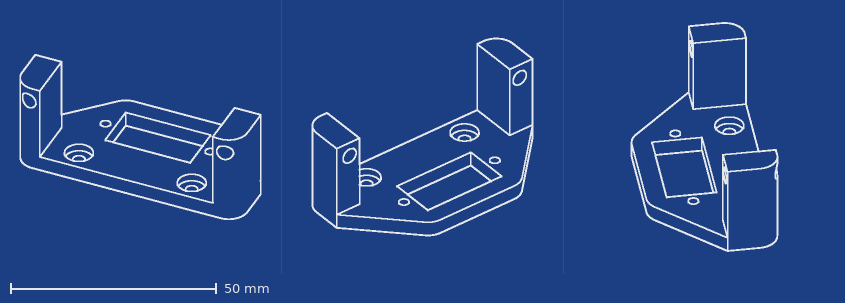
import cadquery as cq

width = 60.0
depth = 30.0
height = 24.0
base_thickness = 4.0

rear_edge_width = 26.75
corner_radius = 5.0

post_width = 7.0
post_depth = 13.0
post_hole_diameter = 4.0
post_hole_inset = 3.95

window_width = 22.6
window_depth = 12.3
window_front = 12.7
window_center = window_front + window_depth / 2
small_hole_spacing = 27.85
small_hole_diameter = 2.5

mount_spacing = 30.0
mount_from_front = 5.4
mount_diameter = 3.0
counterbore_diameter = 7.0
counterbore_depth = 2.0


def make_plate():
    """Plate with slanted rear sides; the front edge lies on Y = 0."""
    outline = [
        (-width / 2, 0),
        (width / 2, 0),
        (width / 2, post_depth),
        (rear_edge_width / 2, depth),
        (-rear_edge_width / 2, depth),
        (-width / 2, post_depth),
    ]
    plate = cq.Workplane("XY").polyline(outline).close().extrude(base_thickness)
    return plate.edges("|Z and >Y").fillet(corner_radius)


def make_post(side):
    """Full-height post on the left (-1) or right (+1) side."""
    center_x = side * (width - post_width) / 2
    return (
        cq.Workplane("XY")
        .center(center_x, post_depth / 2)
        .rect(post_width, post_depth)
        .extrude(height)
    )


def spaced_points(spacing, y):
    return [(-spacing / 2, y), (spacing / 2, y)]


body = make_plate()
for side in (-1, 1):
    body = body.union(make_post(side))

for side_selector in ("<X", ">X"):
    body = body.faces(side_selector).edges("|Z and <Y").fillet(corner_radius)

post_hole_spacing = width - 2 * post_hole_inset
post_holes = (
    cq.Workplane("XZ")
    .pushPoints(spaced_points(post_hole_spacing, height - post_hole_inset))
    .circle(post_hole_diameter / 2)
    .extrude(-depth)
)
body = body.cut(post_holes)

window = (
    cq.Workplane("XY")
    .center(0, window_center)
    .rect(window_width, window_depth)
    .extrude(base_thickness)
)
body = body.cut(window)

plate_top = cq.Workplane("XY", origin=(0, 0, base_thickness))
small_holes = (
    plate_top.pushPoints(spaced_points(small_hole_spacing, window_center))
    .circle(small_hole_diameter / 2)
    .extrude(-base_thickness)
)
mount_points = spaced_points(mount_spacing, mount_from_front)
mount_holes = plate_top.pushPoints(mount_points).circle(mount_diameter / 2).extrude(-base_thickness)
counterbores = (
    plate_top.pushPoints(mount_points)
    .circle(counterbore_diameter / 2)
    .extrude(-counterbore_depth)
)
result = body.cut(small_holes).cut(mount_holes).cut(counterbores)